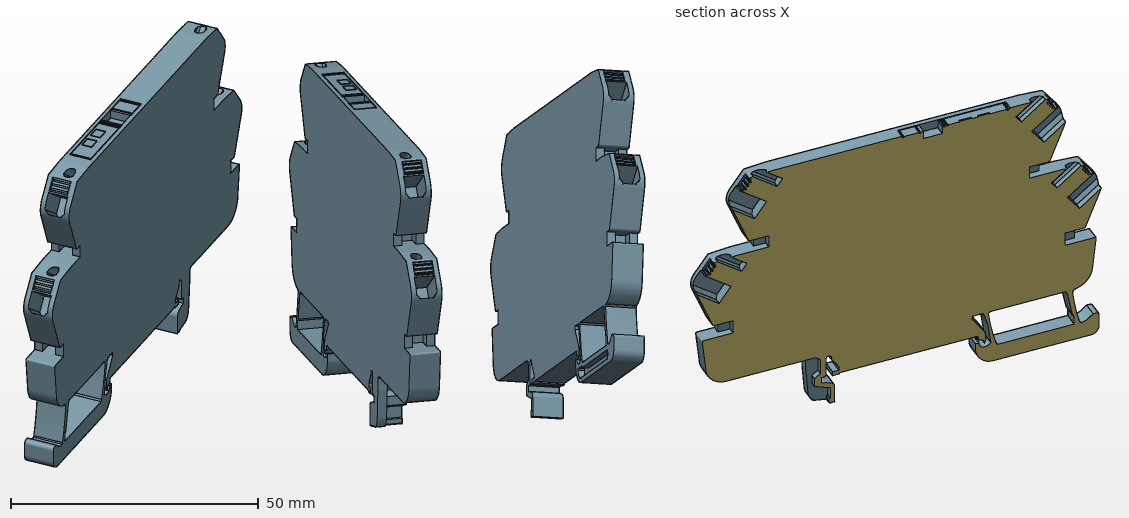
import cadquery as cq
import math

LENGTH = 89.4
THICKNESS = 6.4
HEIGHT = 62.5
HALF_LENGTH = LENGTH / 2
SIDE_X = -THICKNESS / 2

TIER_INSET = 7.9
TIER_RISE = 18.95
TIP_RADIUS = 3.75
TIP_DROP = 6.7
LEAD_ANGLE = 37.0
UNDERCUT_ANGLE = 22.0
BROW_DROP = 0.4
BROW_LENGTH = 8.85
LIP_DROP = 16.3
NOTCH_SETBACK = 5.3
LIP_RADIUS = 0.5
BROW_RADIUS = 0.4

POCKET_WIDTH = 2.95
POCKET_DEPTH = 2.7

SKIRT_TOP = 24.3
SKIRT_TOP_Y = 43.6
SKIRT_EDGE_RADIUS = 0.4
SKIRT_SIDE_Y = 42.8
SKIRT_SIDE_Z = 17.2
BODY_BOTTOM = 12.5
SKIRT_CORNER_Y = 38.4
BULGE_Y = 41.6
BULGE_Z = 14.0
RAIL_SEAT = 7.15

WIRE_WIDTH = 4.3
WIRE_BOTTOM = -2.7
WIRE_TOP = 1.6
WIRE_CORNER = 0.8
WIRE_DEPTH = 7.15
BUTTON_LEFT = -2.15
BUTTON_RIGHT = 1.9
BUTTON_BOTTOM = 2.0
BUTTON_TOP = 4.8
BUTTON_DEPTH = 0.45
BUTTON_GROOVES = (2.5, 3.4, 4.3)
BUTTON_GROOVE_WIDTH = 0.4
BUTTON_GROOVE_DEPTH = 0.9
DRIVER_WIDTH = 2.1
DRIVER_BEVEL = 0.45
DRIVER_X = 0.5
DRIVER_OFFSET = 6.6
DRIVER_DEPTH = 7.15
OPENING_CLEARANCE = 1.8

DISPLAY_LEFT = -2.4
DISPLAY_RIGHT = 2.15
DISPLAY_START = -0.6
DISPLAY_END = -24.5
DISPLAY_DEPTH = 0.2
SWITCH_START = -5.4
SWITCH_END = -9.5
SWITCH_DEPTH = 2.0
DISPLAY_GROOVES = (-0.9, -4.6, -10.0, -10.6, -24.0)
DISPLAY_GROOVE_WIDTH = 0.3
DISPLAY_GROOVE_DEPTH = 0.45
LAMP_LEFT = -1.9
LAMP_WIDTH = 2.15
LAMP_LENGTH = 2.6
LAMP_CENTRES = (-14.7, -18.7)
LAMP_HEIGHT = 0.13

FOOT_GROOVE_DEPTH = 1.3
HEEL_RADIUS = 2.0
CLIP_LOBE_RECESS = 4.5


def side_plane(x=SIDE_X):
    """YZ sketch plane at the given X, extruding towards +X."""
    return cq.Workplane("YZ", origin=(x, 0, 0))


def box(x0, x1, y0, y1, z0, z1):
    corner = (min(x0, x1), min(y0, y1), min(z0, z1))
    size = (abs(x1 - x0), abs(y1 - y0), abs(z1 - z0))
    return cq.Workplane("XY", origin=corner).box(*size, centered=False)


def round_edges(solid, corners, radius):
    """Round the edges along X that stand at the given (y, z) corners."""
    for y, z in corners:
        edge = cq.selectors.NearestToPointSelector((0, y, z))
        solid = solid.edges("|X").edges(edge).fillet(radius)
    return solid


def tip_point(tip_y, top_z, angle):
    """Point on the tip round of a -Y lobe, at an angle above horizontal."""
    a = math.radians(angle)
    y = -(tip_y - TIP_RADIUS + TIP_RADIUS * math.cos(a))
    z = top_z - TIP_DROP + TIP_RADIUS * math.sin(a)
    return y, z


LOWER_TOP = HEIGHT - TIER_RISE
TIERS = (
    (HALF_LENGTH - TIER_INSET, HEIGHT, LOWER_TOP),
    (HALF_LENGTH, LOWER_TOP, SKIRT_TOP),
)


def half_body():
    """The -Y half of the housing, without the rail fittings."""
    outline = side_plane().moveTo(0, BODY_BOTTOM).lineTo(0, HEIGHT)
    brows = []
    lips = []
    for tip_y, top_z, floor_z in TIERS:
        lead = tip_point(tip_y, top_z, LEAD_ANGLE)
        under = tip_point(tip_y, top_z, -UNDERCUT_ANGLE)
        brow_z = top_z - BROW_DROP
        brow_y = lead[0] + (brow_z - lead[1]) * math.tan(math.radians(LEAD_ANGLE))
        lip_z = top_z - LIP_DROP
        lip_y = under[0] + (under[1] - lip_z) * math.tan(math.radians(UNDERCUT_ANGLE))
        notch_y = NOTCH_SETBACK - tip_y
        brows.append((brow_y, brow_z))
        lips.append((lip_y, lip_z))
        outline = (
            outline.lineTo(BROW_LENGTH - tip_y, top_z)
            .lineTo(brow_y, brow_z)
            .lineTo(*lead)
            .threePointArc((-tip_y, top_z - TIP_DROP), under)
            .lineTo(lip_y, lip_z)
            .lineTo(notch_y, lip_z)
            .lineTo(notch_y, floor_z)
        )
    outline = (
        outline.lineTo(-SKIRT_TOP_Y, SKIRT_TOP)
        .lineTo(-SKIRT_SIDE_Y, SKIRT_SIDE_Z)
        .threePointArc((-BULGE_Y, BULGE_Z), (-SKIRT_CORNER_Y, BODY_BOTTOM))
        .close()
    )
    body = outline.extrude(THICKNESS)
    body = round_edges(body, brows, BROW_RADIUS)
    body = round_edges(body, lips, LIP_RADIUS)
    body = round_edges(body, [(-SKIRT_TOP_Y, SKIRT_TOP)], SKIRT_EDGE_RADIUS)
    for tip_y, top_z, floor_z in TIERS:
        notch_y = NOTCH_SETBACK - tip_y
        body = body.cut(
            box(-POCKET_WIDTH / 2, POCKET_WIDTH / 2, notch_y, notch_y + POCKET_DEPTH,
                floor_z, top_z - LIP_DROP)
        )
    return body


def terminal_openings(tip_y, top_z):
    """Wire entry, release button and driver hole of one -Y lobe."""
    lean = math.radians(LEAD_ANGLE)
    lead_y, lead_z = tip_point(tip_y, top_z, LEAD_ANGLE)
    face = cq.Plane(
        origin=(0, lead_y, lead_z),
        xDir=(1, 0, 0),
        normal=(0, -math.cos(lean), math.sin(lean)),
    )
    wire_half = WIRE_WIDTH / 2
    wire = (
        cq.Workplane(face).workplane(offset=OPENING_CLEARANCE)
        .polyline([
            (-wire_half, WIRE_TOP),
            (wire_half, WIRE_TOP),
            (wire_half, WIRE_BOTTOM + WIRE_CORNER),
            (wire_half - WIRE_CORNER, WIRE_BOTTOM),
            (WIRE_CORNER - wire_half, WIRE_BOTTOM),
            (-wire_half, WIRE_BOTTOM + WIRE_CORNER),
        ])
        .close()
        .extrude(-WIRE_DEPTH - OPENING_CLEARANCE)
    )
    driver_half = DRIVER_WIDTH / 2
    driver = (
        cq.Workplane(face).center(DRIVER_X, DRIVER_OFFSET)
        .moveTo(-driver_half, 0)
        .threePointArc((0, driver_half), (driver_half, 0))
        .lineTo(driver_half, DRIVER_BEVEL - driver_half)
        .lineTo(driver_half - DRIVER_BEVEL, -driver_half)
        .lineTo(DRIVER_BEVEL - driver_half, -driver_half)
        .lineTo(-driver_half, DRIVER_BEVEL - driver_half)
        .close()
        .extrude(-DRIVER_DEPTH)
    )
    button_x = (BUTTON_LEFT + BUTTON_RIGHT) / 2
    button_width = BUTTON_RIGHT - BUTTON_LEFT
    button = (
        cq.Workplane(face).center(button_x, (BUTTON_BOTTOM + BUTTON_TOP) / 2)
        .rect(button_width, BUTTON_TOP - BUTTON_BOTTOM)
        .extrude(-BUTTON_DEPTH)
    )
    grooves = (
        cq.Workplane(face)
        .pushPoints([(button_x, s) for s in BUTTON_GROOVES])
        .rect(button_width, BUTTON_GROOVE_WIDTH)
        .extrude(-BUTTON_GROOVE_DEPTH)
    )
    return wire.union(driver).union(button).union(grooves)


def display_cut():
    """Shallow display strip with its switch well, grooves and raised lamps."""
    floor_z = HEIGHT - DISPLAY_DEPTH

    def strip(y0, y1, depth):
        return box(DISPLAY_LEFT, DISPLAY_RIGHT, y0, y1, HEIGHT - depth, HEIGHT)

    cut = strip(DISPLAY_START, DISPLAY_END, DISPLAY_DEPTH)
    cut = cut.union(strip(SWITCH_START, SWITCH_END, SWITCH_DEPTH))
    for y in DISPLAY_GROOVES:
        half = DISPLAY_GROOVE_WIDTH / 2
        cut = cut.union(strip(y - half, y + half, DISPLAY_GROOVE_DEPTH))
    for y in LAMP_CENTRES:
        half = LAMP_LENGTH / 2
        cut = cut.cut(
            box(LAMP_LEFT, LAMP_LEFT + LAMP_WIDTH, y - half, y + half,
                floor_z, floor_z + LAMP_HEIGHT)
        )
    return cut


def rail_seat():
    """Block resting on the rail, with a catch at +Y and a hook at -Y."""
    outline = [
        (15.0, BODY_BOTTOM), (15.0, 11.1), (13.4, 8.8), (13.4, 7.95),
        (14.75, 7.95), (14.75, 6.9), (13.2, 6.9), (13.2, RAIL_SEAT),
        (-17.3, RAIL_SEAT), (-17.6, 6.1), (-18.6, 5.8), (-18.9, 5.0),
        (-19.2, 5.9), (-19.0, 7.7), (-18.05, 9.2), (-16.2, 11.9),
        (-16.3, BODY_BOTTOM),
    ]
    return side_plane().polyline(outline).close().extrude(THICKNESS)


def clip():
    """Fixed rail clip at +Y: full-width spring web and a recessed outer lobe."""
    web_outer = [
        (18.7, BODY_BOTTOM), (17.8, 12.1), (17.4, 11.5), (17.4, 8.3), (18.8, 7.4),
        (18.8, 5.45), (17.9, 5.0), (15.3, 4.0), (15.3, 1.6), (15.55, 1.4), (15.55, 0.45),
    ]
    web = (
        side_plane().polyline(web_outer)
        .lineTo(15.3, 0.2)
        .lineTo(14.2, 0.2)
        .lineTo(14.2, 4.1)
        .threePointArc((14.5, 4.8), (15.1, 5.3))
        .lineTo(16.3, 5.7)
        .lineTo(17.2, 5.8)
        .lineTo(17.2, 7.1)
        .lineTo(16.35, RAIL_SEAT)
        .lineTo(16.1, 7.4)
        .lineTo(16.1, 11.6)
        .threePointArc((15.55, 12.1), (15.0, 11.6))
        .lineTo(15.0, BODY_BOTTOM)
        .close()
        .extrude(THICKNESS)
    )
    lobe = (
        side_plane(SIDE_X + CLIP_LOBE_RECESS).polyline(web_outer)
        .lineTo(18.4, 1.0)
        .threePointArc((19.1, 1.8), (19.6, 2.95))
        .lineTo(20.1, 9.2)
        .lineTo(20.1, 11.9)
        .lineTo(20.6, BODY_BOTTOM)
        .close()
        .extrude(THICKNESS - CLIP_LOBE_RECESS)
    )
    return web.union(lobe)


def foot():
    """Sprung release foot at -Y, hung from the body by two leaning struts."""
    heel = (-44.2, 0)
    frame = (
        side_plane().moveTo(-18.4, BODY_BOTTOM)
        .lineTo(-18.8, 12.1)
        .lineTo(-19.6, 9.2)
        .lineTo(-20.0, 5.8)
        .lineTo(-20.2, 4.8)
        .threePointArc((-19.0, 4.2), (-18.0, 4.5))
        .lineTo(-17.6, 5.45)
        .lineTo(-16.8, 5.5)
        .lineTo(-16.8, 3.8)
        .threePointArc((-17.8, 1.5), (-19.6, 0.2))
        .lineTo(-20.5, 0)
        .lineTo(*heel)
        .lineTo(-44.2, 4.6)
        .threePointArc((-44.0, 5.1), (-43.4, 5.3))
        .lineTo(-42.8, 5.3)
        .lineTo(-41.5, 4.2)
        .threePointArc((-40.75, 3.9), (-40.0, 3.9))
        .lineTo(-39.9, 4.2)
        .threePointArc((-38.9, 8.5), (-38.3, 12.1))
        .lineTo(-38.8, BODY_BOTTOM)
        .lineTo(-38.4, BODY_BOTTOM)
        .close()
        .extrude(THICKNESS)
    )
    frame = round_edges(frame, [heel], HEEL_RADIUS)
    window = (
        side_plane().moveTo(-20.1, BODY_BOTTOM)
        .lineTo(-19.75, 12.15)
        .threePointArc((-20.5, 8.0), (-21.45, 4.3))
        .lineTo(-21.7, 3.9)
        .lineTo(-38.6, 3.9)
        .lineTo(-38.6, 5.8)
        .lineTo(-38.25, 6.3)
        .lineTo(-37.1, 12.0)
        .lineTo(-36.7, BODY_BOTTOM)
        .close()
        .extrude(THICKNESS)
    )
    groove = (
        side_plane().moveTo(-18.7, 3.3)
        .lineTo(-21.0, 3.3)
        .lineTo(-21.4, 2.9)
        .lineTo(-39.2, 2.9)
        .threePointArc((-39.95, 2.0), (-39.2, 1.0))
        .lineTo(-19.8, 1.0)
        .threePointArc((-18.95, 1.8), (-18.4, 2.95))
        .close()
        .extrude(FOOT_GROOVE_DEPTH)
    )
    return frame.cut(window).cut(groove)


front_half = half_body()
result = front_half.union(front_half.mirror("XZ"))
for tip_y, top_z, _ in TIERS:
    openings = terminal_openings(tip_y, top_z)
    result = result.cut(openings).cut(openings.mirror("XZ"))
result = result.cut(display_cut())
result = result.union(rail_seat()).union(clip()).union(foot())